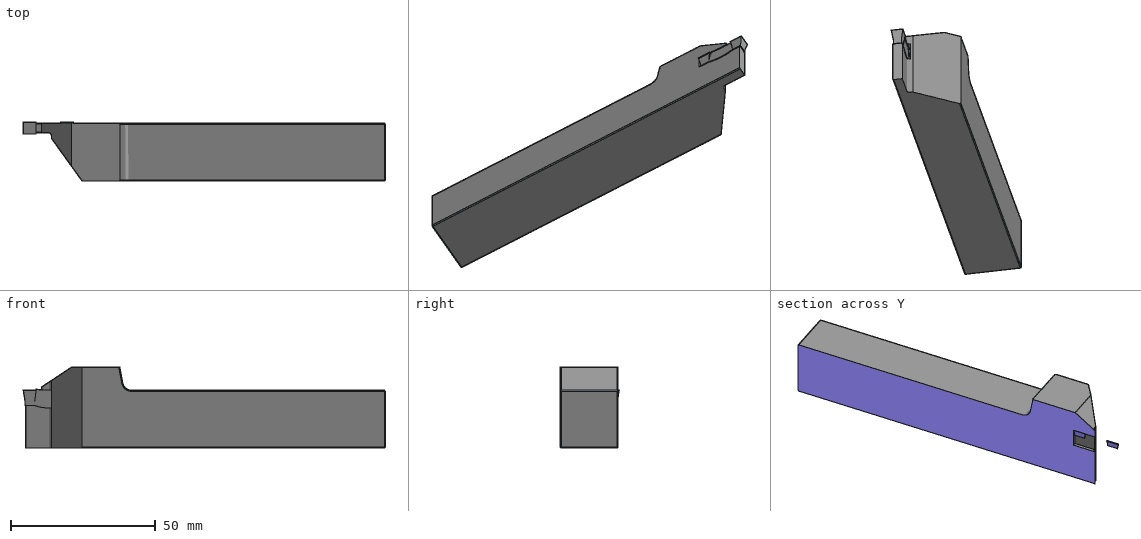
import cadquery as cq

LENGTH = 125.0
SHANK_SIZE = 20.0
HEAD_HEIGHT = 28.0
BLADE_FRONT_X = 0.9
BLADE_THICKNESS = 3.4
SHOULDER_X = 9.8
SHOULDER_Y = -5.2
BLADE_FILLET = 1.0
SIDE_TAPER_END_X = 20.4
CLAMP_NOSE_X = 6.4
CLAMP_NOSE_Z = 21.1
HEAD_TOP_START_X = 16.8
HEAD_TOP_END_X = 33.4
HEAD_FOOT_X = 34.9
HEAD_FOOT_FILLET = 3.1
SHANK_CHAMFER = 0.4

INSERT_LENGTH = 17.4
INSERT_MID_X = INSERT_LENGTH / 2
INSERT_MID_Y = -BLADE_THICKNESS / 2
INSERT_TOP_Z = SHANK_SIZE
INSERT_BASE_Z = 14.8
BASE_SAG = 0.9
BASE_FLAT_END_X = 3.9
WEB_WIDTH = 2.9
WEB_START_X = 0.6
WEB_RISE = 0.4
CUTTING_WIDTH = 4.1
CUTTING_LENGTH = 4.5
CUTTING_BASE_LENGTH = 3.4
CUTTING_BASE_Z = 16.2

POCKET_SIDE_Y = -4.4
BASE_MID_Z = INSERT_BASE_Z - BASE_SAG


def prism_along_y(outline, y_low, y_high):
    """Extrude an XZ outline between two Y positions."""
    return outline.extrude(y_high - y_low).translate((0, y_high, 0))


def box_between(low, high):
    size = [b - a for a, b in zip(low, high)]
    return cq.Workplane("XY").box(*size, centered=False).translate(low)


def insert_outline(start_x):
    """XZ outline of the web, symmetric about the insert middle."""
    end_x = INSERT_LENGTH - start_x
    base_end_x = INSERT_LENGTH - BASE_FLAT_END_X
    rise_end_x = INSERT_LENGTH - CUTTING_LENGTH
    web_top_z = INSERT_TOP_Z + WEB_RISE
    return (
        cq.Workplane("XZ")
        .moveTo(start_x, INSERT_BASE_Z)
        .lineTo(BASE_FLAT_END_X, INSERT_BASE_Z)
        .threePointArc((INSERT_MID_X, BASE_MID_Z), (base_end_x, INSERT_BASE_Z))
        .lineTo(end_x, INSERT_BASE_Z)
        .lineTo(end_x, INSERT_TOP_Z)
        .lineTo(rise_end_x, INSERT_TOP_Z)
        .lineTo(rise_end_x, web_top_z)
        .threePointArc((INSERT_MID_X, INSERT_TOP_Z), (CUTTING_LENGTH, web_top_z))
        .lineTo(CUTTING_LENGTH, INSERT_TOP_Z)
        .lineTo(start_x, INSERT_TOP_Z)
        .close()
    )


def make_cutting_head():
    """Front cutting head, relieved on all sides below its top face."""
    return (
        cq.Workplane("XY", origin=(0, INSERT_MID_Y, CUTTING_BASE_Z))
        .center(WEB_START_X + CUTTING_BASE_LENGTH / 2, 0)
        .rect(CUTTING_BASE_LENGTH, WEB_WIDTH)
        .workplane(offset=INSERT_TOP_Z - CUTTING_BASE_Z)
        .center((CUTTING_LENGTH - CUTTING_BASE_LENGTH) / 2 - WEB_START_X, 0)
        .rect(CUTTING_LENGTH, CUTTING_WIDTH)
        .loft(ruled=True)
    )


def make_insert():
    half_web = WEB_WIDTH / 2
    web = prism_along_y(insert_outline(WEB_START_X), INSERT_MID_Y - half_web, INSERT_MID_Y + half_web)
    front_head = make_cutting_head()
    rear_head = front_head.mirror("YZ", (INSERT_MID_X, 0, 0))
    return web.union(front_head).union(rear_head)


def make_shank_and_head():
    """Side profile with the plan outline of blade, shoulder and tapered side."""
    profile = (
        cq.Workplane("XZ")
        .moveTo(BLADE_FRONT_X, 0)
        .lineTo(LENGTH, 0)
        .lineTo(LENGTH, SHANK_SIZE)
        .lineTo(HEAD_FOOT_X, SHANK_SIZE)
        .lineTo(HEAD_TOP_END_X, HEAD_HEIGHT)
        .lineTo(HEAD_TOP_START_X, HEAD_HEIGHT)
        .lineTo(CLAMP_NOSE_X, CLAMP_NOSE_Z)
        .lineTo(CLAMP_NOSE_X, INSERT_BASE_Z)
        .lineTo(BLADE_FRONT_X, INSERT_BASE_Z)
        .close()
    )
    body = prism_along_y(profile, -SHANK_SIZE, 0)
    foot = cq.selectors.NearestToPointSelector((HEAD_FOOT_X, -SHANK_SIZE / 2, SHANK_SIZE))
    body = body.edges(foot).fillet(HEAD_FOOT_FILLET)

    body = body.faces(">X").edges().chamfer(SHANK_CHAMFER)
    body = body.faces("<Z").edges("|X").chamfer(SHANK_CHAMFER)
    shank_mid_x = (HEAD_FOOT_X + LENGTH) / 2
    for side_y in (-SHANK_SIZE, 0):
        top_edge = cq.selectors.NearestToPointSelector((shank_mid_x, side_y, SHANK_SIZE))
        body = body.edges("|X").edges(top_edge).chamfer(SHANK_CHAMFER)

    plan = (
        cq.Workplane("XY")
        .moveTo(BLADE_FRONT_X, 0)
        .lineTo(LENGTH, 0)
        .lineTo(LENGTH, -SHANK_SIZE)
        .lineTo(SIDE_TAPER_END_X, -SHANK_SIZE)
        .lineTo(SHOULDER_X, SHOULDER_Y)
        .lineTo(SHOULDER_X, -BLADE_THICKNESS - BLADE_FILLET)
        .radiusArc((SHOULDER_X - BLADE_FILLET, -BLADE_THICKNESS), -BLADE_FILLET)
        .lineTo(BLADE_FRONT_X, -BLADE_THICKNESS)
        .close()
        .extrude(HEAD_HEIGHT)
    )
    return body.intersect(plan)


def make_holder():
    seat = prism_along_y(insert_outline(0), -BLADE_THICKNESS, 0)
    head_room = box_between(
        (SHOULDER_X - BLADE_FILLET, POCKET_SIDE_Y, BASE_MID_Z),
        (INSERT_LENGTH, -BLADE_THICKNESS, INSERT_TOP_Z),
    )
    return make_shank_and_head().cut(seat).cut(head_room)


holder = make_holder()
insert = make_insert()
result = cq.Compound.makeCompound([*holder.solids().vals(), *insert.solids().vals()])